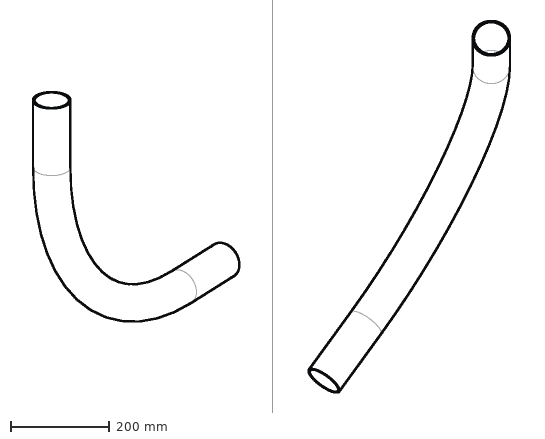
import cadquery as cq

overall_size = 648.0
outer_diameter = 76.5
inner_diameter = 70.0
straight_length = 152.0
bend_angle = 90

bend_radius = overall_size - outer_diameter / 2 - straight_length

leg_end = bend_radius + straight_length


def tube_section(workplane):
    """Draw the ring-shaped cross-section of the pipe wall."""
    return workplane.circle(outer_diameter / 2).circle(inner_diameter / 2)


def upright_leg():
    plane = cq.Workplane("XY", origin=(0, 0, bend_radius))
    return tube_section(plane).extrude(straight_length)


def level_leg():
    plane = cq.Workplane("XZ", origin=(0, leg_end, 0))
    return tube_section(plane).extrude(straight_length)


def bend():
    plane = cq.Workplane("XY", origin=(0, 0, bend_radius))
    axis_start = (0, bend_radius)
    axis_end = (1, bend_radius)
    return tube_section(plane).revolve(bend_angle, axis_start, axis_end)


result = upright_leg().union(bend()).union(level_leg())